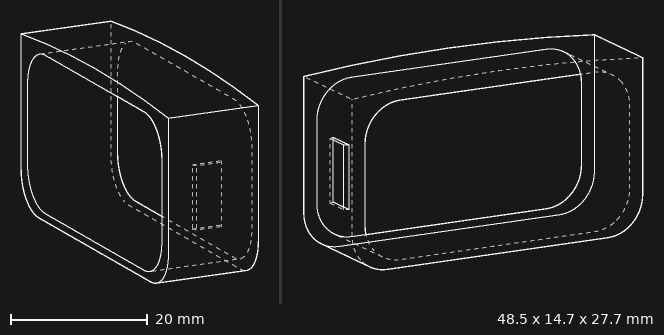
import cadquery as cq

width = 48.5
depth = 14.7
height = 27.7
crown_rise = 1.15
outer_radius = 5.8

side_wall = 2.2
floor_thickness = 1.2
opening_height = 24.15
opening_radius = 5.8

pocket_width = 4.75
pocket_height = 9.8
pocket_depth = 0.7
pocket_side_slant = 0.35

half_width = width / 2
shoulder_height = height - crown_rise
opening_width = width - 2 * side_wall
opening_center_z = floor_thickness + opening_height / 2


def make_body():
    """Block with a gently arched top and rounded lower corners."""
    return (
        cq.Workplane("XZ")
        .moveTo(-half_width, 0)
        .lineTo(half_width, 0)
        .lineTo(half_width, shoulder_height)
        .threePointArc((0, height), (-half_width, shoulder_height))
        .close()
        .extrude(depth / 2, both=True)
        .edges("|Y and <Z")
        .fillet(outer_radius)
    )


def make_opening():
    """Rounded rectangular cutter running through the full depth."""
    return (
        cq.Workplane("XY")
        .box(opening_width, depth, opening_height)
        .edges("|Y")
        .fillet(opening_radius)
        .translate((0, 0, opening_center_z))
    )


def make_pocket():
    """Trapezoidal recess, narrowing outward, centered on the inner side wall."""
    inner_x = opening_width / 2
    outer_x = inner_x + pocket_depth
    mouth_half = pocket_width / 2
    base_half = mouth_half - pocket_side_slant
    return (
        cq.Workplane("XY")
        .workplane(offset=opening_center_z - pocket_height / 2)
        .moveTo(inner_x, -mouth_half)
        .lineTo(outer_x, -base_half)
        .lineTo(outer_x, base_half)
        .lineTo(inner_x, mouth_half)
        .close()
        .extrude(pocket_height)
    )


result = make_body().cut(make_opening()).cut(make_pocket())